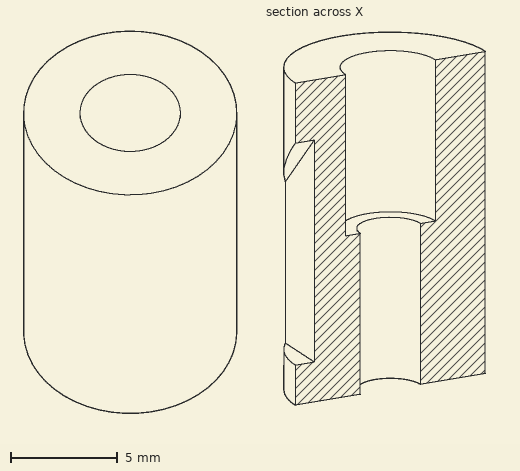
import cadquery as cq

height = 16.0
outer_diameter = 10.0
bore_diameter = 3.15
counterbore_diameter = 4.7
counterbore_depth = height / 2

outer_radius = outer_diameter / 2
recess_depth = 1.0
recess_bottom = 2.0
roof_start = 10.0
flat_y = outer_radius - recess_depth
half_width = (outer_radius**2 - flat_y**2) ** 0.5
roof_peak = roof_start + half_width


def make_sleeve():
    """Round sleeve with a through bore, counterbored from the top."""
    return (
        cq.Workplane("XY")
        .circle(outer_radius)
        .extrude(height)
        .faces(">Z")
        .workplane()
        .cboreHole(bore_diameter, counterbore_diameter, counterbore_depth)
    )


def make_recess():
    """House-shaped cutter that reaches from the flat out to the +Y side."""
    outline = [
        (-half_width, recess_bottom),
        (half_width, recess_bottom),
        (half_width, roof_start),
        (0, roof_peak),
        (-half_width, roof_start),
    ]
    return (
        cq.Workplane("XZ", origin=(0, flat_y, 0))
        .polyline(outline)
        .close()
        .extrude(-recess_depth)
    )


result = make_sleeve().cut(make_recess())